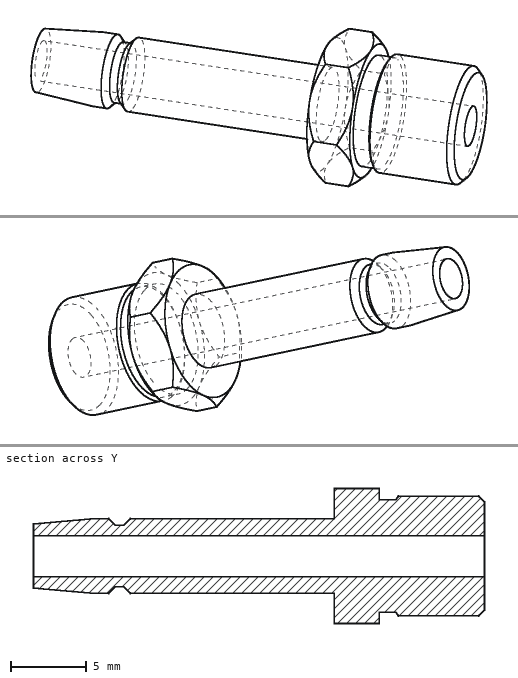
import cadquery as cq
import math

TAPER_END = 4.0
GROOVE_START = 5.0
HEX_START = 20.0
HEX_WIDTH = 3.0
COLLAR_LENGTH = 1.1
BODY_STEP_LENGTH = 0.15
TOTAL_LENGTH = 30.0

STEM_RADIUS = 2.5
TAPER_ANGLE = 5.0
GROOVE_DEPTH = 0.45
GROOVE_FLOOR_WIDTH = 0.55

HEX_SIDES = 6
HEX_ACROSS_FLATS = 9.0
HEX_CHAMFER_ANGLE = 45.0

COLLAR_RADIUS = 3.75
BODY_RADIUS = 4.0
BODY_CHAMFER = 0.4

BORE_DIAMETER = 2.7

TIP_RADIUS = STEM_RADIUS - TAPER_END * math.tan(math.radians(TAPER_ANGLE))
GROOVE_RADIUS = STEM_RADIUS - GROOVE_DEPTH
GROOVE_FLOOR_START = GROOVE_START + GROOVE_DEPTH
GROOVE_FLOOR_END = GROOVE_FLOOR_START + GROOVE_FLOOR_WIDTH
GROOVE_END = GROOVE_FLOOR_END + GROOVE_DEPTH
HEX_END = HEX_START + HEX_WIDTH
COLLAR_END = HEX_END + COLLAR_LENGTH
BODY_START = COLLAR_END + BODY_STEP_LENGTH
HEX_FLAT_RADIUS = HEX_ACROSS_FLATS / 2
HEX_CORNER_RADIUS = HEX_FLAT_RADIUS / math.cos(math.pi / HEX_SIDES)


def revolve_about_x(half_profile):
    """Revolve a closed (x, radius) outline about the X axis."""
    return cq.Workplane("XZ").polyline(half_profile).close().revolve(360, (0, 0, 0), (1, 0, 0))


def make_turned_core():
    """Stem, groove, collar and body as one turned solid."""
    return revolve_about_x([
        (0, 0),
        (0, TIP_RADIUS),
        (TAPER_END, STEM_RADIUS),
        (GROOVE_START, STEM_RADIUS),
        (GROOVE_FLOOR_START, GROOVE_RADIUS),
        (GROOVE_FLOOR_END, GROOVE_RADIUS),
        (GROOVE_END, STEM_RADIUS),
        (HEX_START, STEM_RADIUS),
        (HEX_START, COLLAR_RADIUS),
        (COLLAR_END, COLLAR_RADIUS),
        (BODY_START, BODY_RADIUS),
        (TOTAL_LENGTH - BODY_CHAMFER, BODY_RADIUS),
        (TOTAL_LENGTH, BODY_RADIUS - BODY_CHAMFER),
        (TOTAL_LENGTH, 0),
    ])


def make_hexagon():
    """Hexagon with corners on the Y axis, its corners chamfered on both faces."""
    prism = (
        cq.Workplane("YZ", origin=(HEX_START, 0, 0))
        .polygon(HEX_SIDES, 2 * HEX_CORNER_RADIUS)
        .extrude(HEX_WIDTH)
    )
    chamfer_height = HEX_CORNER_RADIUS - HEX_FLAT_RADIUS
    chamfer_length = chamfer_height * math.tan(math.radians(HEX_CHAMFER_ANGLE))
    envelope = revolve_about_x([
        (HEX_START, 0),
        (HEX_START, HEX_FLAT_RADIUS),
        (HEX_START + chamfer_length, HEX_CORNER_RADIUS),
        (HEX_END - chamfer_length, HEX_CORNER_RADIUS),
        (HEX_END, HEX_FLAT_RADIUS),
        (HEX_END, 0),
    ])
    return prism.intersect(envelope)


def make_bore():
    """Through hole along the whole axis."""
    return cq.Workplane("YZ").circle(BORE_DIAMETER / 2).extrude(TOTAL_LENGTH)


result = make_turned_core().union(make_hexagon()).cut(make_bore())